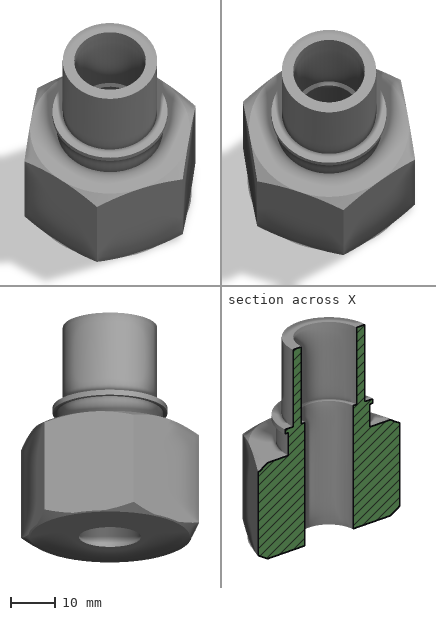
import cadquery as cq
import math

nut_height = 23.95
across_flats = 36.0
across_corners = across_flats / math.cos(math.pi / 6)
chamfer_angle = math.radians(30)
end_face_diameter = across_flats

rim_diameter = 36.75
rim_height = (rim_diameter - end_face_diameter) / 2 * math.tan(chamfer_angle)

total_height = 49.75
neck_diameter = 24.0
collar_diameter = 25.9
collar_bottom = 29.45
collar_top = 30.65
tube_diameter = 21.3

bore_diameter = 16.1
through_diameter = 14.0
bore_bottom = collar_top


def cylinder(diameter, bottom, top):
    return cq.Workplane("XY").workplane(offset=bottom).circle(diameter / 2).extrude(top - bottom)


def chamfered_nut():
    """Hexagon with corners on the Y axis and conical ends, standing on a thin round rim."""
    hexagon = cq.Workplane("XY").polygon(6, across_corners).extrude(nut_height)
    hexagon = hexagon.rotate((0, 0, 0), (0, 0, 1), 90)
    rim = cylinder(rim_diameter, 0, rim_height)
    corner_radius = across_corners / 2
    face_radius = end_face_diameter / 2
    chamfer_height = (corner_radius - face_radius) * math.tan(chamfer_angle)
    envelope = (
        cq.Workplane("XZ")
        .moveTo(0, 0)
        .lineTo(face_radius, 0)
        .lineTo(corner_radius, chamfer_height)
        .lineTo(corner_radius, nut_height - chamfer_height)
        .lineTo(face_radius, nut_height)
        .lineTo(0, nut_height)
        .close()
        .revolve(360, (0, 0), (0, 1))
    )
    return hexagon.union(rim).intersect(envelope)


nut = chamfered_nut()
neck = cylinder(neck_diameter, nut_height, collar_bottom)
collar = cylinder(collar_diameter, collar_bottom, collar_top)
tube = cylinder(tube_diameter, collar_top, total_height)
body = nut.union(neck).union(collar).union(tube)

result = (
    body
    .cut(cylinder(through_diameter, 0, total_height))
    .cut(cylinder(bore_diameter, bore_bottom, total_height))
)